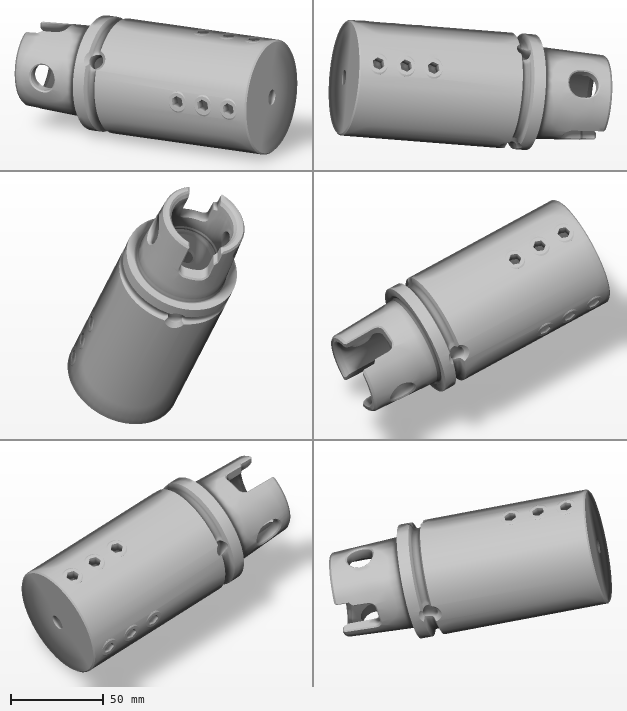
import cadquery as cq
import math


body_diameter = 62.95
body_radius = body_diameter / 2
body_length = 105.0
shank_length = 39.95
end_chamfer = 0.8

taper_large_radius = 25.2
taper_slope = 0.05
taper_small_radius = taper_large_radius - taper_slope * shank_length
tip_chamfer_length = 1.3
tip_chamfer_height = 0.85

neck_radius = 24.6
neck_length = 1.0
neck_chamfer = 0.5
face_recess_outer_radius = 27.0
face_recess_inner_radius = 25.7
face_recess_depth = 0.6

groove_start = 6.55
groove_top_width = 6.55
groove_floor_width = 3.3
groove_depth = 3.65
groove_fillet = 1.2

mouth_radius = 20.0
mouth_chamfer = 1.1
lead_in_length = 2.0
bore_radius = 17.7
bore_depth = 31.5
lip_radius = 17.0
lip_start = 29.8
lip_slope_length = 0.7
floor_recess_radius = 15.4
floor_recess_chamfer = 1.0
coolant_radius = 4.2
coolant_chamfer = 1.0

slot_half_width = 8.1
slot_length = 22.0
slot_corner_radius = 4.0
slot_step = 1.75
slot_step_length = 7.7
slot_mouth_chamfer = 0.9
outer_edge_chamfer = 0.8

cross_hole_from_tip = 17.4
cross_hole_diameter = 14.6
cross_hole_stretch = 2.2

notch_x = 11.1
notch_radius = 4.1
notch_sink_radius = 6.3
notch_bottom = 22.0
drill_point_angle = 118.0
sunk_notch_angles = (60.0, 180.0)
plain_notch_angle = -60.0

screw_radius = 6.0
screw_face_radius = 5.15
screw_chamfer_depth = 0.5
screw_length = 12.0
screw_pitch = 15.5
last_screw_from_end = 10.6
screw_count = 3
screw_side_angles = (-90.0, 0.0, 90.0)
hex_across_flats = 6.0
hex_depth = 6.0
hex_twist = 40.0

shank_tip = -shank_length
cutter_reach = 100.0
tolerance = 0.01


def revolve_about_x(outline):
    """Solid of revolution from a closed (x, radius) outline."""
    return outline.close().revolve(360, (0, 0, 0), (1, 0, 0))


def place_on_side(tool, x, angle):
    """Put a tool built along Z at the given X, turned about the axis from +Z toward -Y."""
    return tool.rotate((0, 0, 0), (1, 0, 0), angle).translate((x, 0, 0))


def make_blank():
    taper_end = -neck_length - neck_chamfer
    taper_end_radius = taper_large_radius + taper_slope * taper_end
    outline = (
        cq.Workplane("XY")
        .moveTo(shank_tip, 0)
        .lineTo(shank_tip, taper_small_radius - tip_chamfer_height)
        .lineTo(shank_tip + tip_chamfer_length, taper_small_radius + taper_slope * tip_chamfer_length)
        .lineTo(taper_end, taper_end_radius)
        .lineTo(-neck_length, neck_radius)
        .lineTo(face_recess_depth, face_recess_inner_radius)
        .lineTo(0, face_recess_outer_radius)
        .lineTo(0, body_radius)
        .lineTo(body_length - end_chamfer, body_radius)
        .lineTo(body_length, body_radius - end_chamfer)
        .lineTo(body_length, 0)
    )
    return revolve_about_x(outline)


def make_groove():
    floor_radius = body_radius - groove_depth
    side = (groove_top_width - groove_floor_width) / 2
    outline = (
        cq.Workplane("XY")
        .moveTo(groove_start, body_radius)
        .lineTo(groove_start + side, floor_radius)
        .lineTo(groove_start + side + groove_floor_width, floor_radius)
        .lineTo(groove_start + groove_top_width, body_radius)
        .lineTo(groove_start + groove_top_width, cutter_reach)
        .lineTo(groove_start, cutter_reach)
    )
    floor_edges = cq.selectors.BoxSelector(
        (0, -floor_radius - tolerance, -floor_radius - tolerance),
        (body_length, floor_radius + tolerance, floor_radius + tolerance),
        boundingbox=True,
    )
    return revolve_about_x(outline).edges("%CIRCLE").edges(floor_edges).fillet(groove_fillet)


def make_hollow():
    lead_in_radius = mouth_radius - mouth_chamfer
    lip_x = shank_tip + lip_start
    floor_x = shank_tip + bore_depth
    recess_x = floor_x + floor_recess_chamfer
    outline = (
        cq.Workplane("XY")
        .moveTo(shank_tip, 0)
        .lineTo(shank_tip, mouth_radius)
        .lineTo(shank_tip + mouth_chamfer, lead_in_radius)
        .lineTo(shank_tip + mouth_chamfer + lead_in_length, bore_radius)
        .lineTo(lip_x, bore_radius)
        .lineTo(lip_x + lip_slope_length, lip_radius)
        .lineTo(floor_x, lip_radius)
        .lineTo(floor_x, floor_recess_radius)
        .lineTo(recess_x, floor_recess_radius - floor_recess_chamfer)
        .lineTo(recess_x, coolant_radius + coolant_chamfer)
        .lineTo(recess_x + coolant_chamfer, coolant_radius)
        .lineTo(body_length, coolant_radius)
        .lineTo(body_length, 0)
    )
    return revolve_about_x(outline)


def make_drive_slot():
    """Slot running through Z, with its -Y wall set back near the shank tip."""
    slot_end = shank_tip + slot_length
    step_end = shank_tip + slot_step_length
    mouth_end = shank_tip + slot_mouth_chamfer
    step_half_width = slot_half_width + slot_step
    return (
        cq.Workplane("XY", origin=(0, 0, -cutter_reach / 2))
        .moveTo(shank_tip, slot_half_width + slot_mouth_chamfer)
        .lineTo(mouth_end, slot_half_width)
        .lineTo(slot_end, slot_half_width)
        .lineTo(slot_end, -slot_half_width)
        .lineTo(step_end + slot_step, -slot_half_width)
        .lineTo(step_end, -step_half_width)
        .lineTo(mouth_end, -step_half_width)
        .lineTo(shank_tip, -step_half_width - slot_mouth_chamfer)
        .close()
        .extrude(cutter_reach)
        .edges("|Z and >X")
        .fillet(slot_corner_radius)
    )


def make_cross_hole():
    hole_x = shank_tip + cross_hole_from_tip
    round_hole = (
        cq.Workplane("XZ", origin=(hole_x, 0, 0))
        .circle(cross_hole_diameter / 2)
        .extrude(cutter_reach / 2)
    )
    stretched_hole = (
        cq.Workplane("XZ", origin=(hole_x - cross_hole_stretch / 2, 0, 0))
        .slot2D(cross_hole_diameter + cross_hole_stretch, cross_hole_diameter)
        .extrude(-cutter_reach / 2)
    )
    return round_hole.union(stretched_hole)


def break_shank_edges(holder):
    """Chamfer the outer edges of the drive slots and of the cross hole."""
    farthest_cut = shank_tip + cross_hole_from_tip + cross_hole_diameter / 2

    def lies_on_taper(edge):
        points = [edge.positionAt(t) for t in (0.0, 0.5, 1.0)]
        return all(
            abs(math.hypot(p.y, p.z) - taper_large_radius - taper_slope * p.x) < tolerance
            and shank_tip < p.x < farthest_cut + tolerance
            for p in points
        )

    def is_tip_ring(edge):
        return edge.BoundingBox().xlen < tolerance and edge.Center().x < shank_tip + 2 * tip_chamfer_length

    edges = [e for e in holder.edges().vals() if lies_on_taper(e) and not is_tip_ring(e)]
    return holder.newObject(edges).chamfer(outer_edge_chamfer)


def make_notch(sunk):
    """Radial drill along +Z with a conical point, and a 45 degree countersink when sunk."""
    point_depth = notch_radius / math.tan(math.radians(drill_point_angle / 2))
    outline = cq.Workplane("XZ").moveTo(0, notch_bottom - point_depth).lineTo(notch_radius, notch_bottom)
    if sunk:
        sink_depth = notch_sink_radius - notch_radius
        outline = outline.lineTo(notch_radius, body_radius - sink_depth)
        outline = outline.lineTo(notch_sink_radius, body_radius).lineTo(notch_sink_radius, cutter_reach)
    else:
        outline = outline.lineTo(notch_radius, cutter_reach)
    return outline.lineTo(0, cutter_reach).close().revolve(360, (0, 0, 0), (0, 1, 0))


def make_screw_blank():
    """Set screw along +Z whose flat face is level with the body surface."""
    return (
        cq.Workplane("XZ")
        .moveTo(0, body_radius - screw_length)
        .lineTo(screw_radius, body_radius - screw_length)
        .lineTo(screw_radius, body_radius - screw_chamfer_depth)
        .lineTo(screw_face_radius, body_radius)
        .lineTo(0, body_radius)
        .close()
        .revolve(360, (0, 0, 0), (0, 1, 0))
    )


def make_screw():
    hex_corner_diameter = hex_across_flats / math.cos(math.radians(30))
    socket = (
        cq.Workplane("XY", origin=(0, 0, body_radius - hex_depth))
        .polygon(6, hex_corner_diameter)
        .extrude(hex_depth)
        .rotate((0, 0, 0), (0, 0, 1), hex_twist)
    )
    return make_screw_blank().cut(socket)


screw_places = [
    (body_length - last_screw_from_end - i * screw_pitch, angle)
    for angle in screw_side_angles
    for i in range(screw_count)
]

holder = make_blank().cut(make_groove()).cut(make_hollow())
holder = holder.cut(make_drive_slot()).cut(make_cross_hole())
holder = break_shank_edges(holder)
for notch_angle in sunk_notch_angles:
    holder = holder.cut(place_on_side(make_notch(True), notch_x, notch_angle))
holder = holder.cut(place_on_side(make_notch(False), notch_x, plain_notch_angle))
for screw_x, screw_angle in screw_places:
    holder = holder.cut(place_on_side(make_screw_blank(), screw_x, screw_angle))

screws = [place_on_side(make_screw(), screw_x, screw_angle) for screw_x, screw_angle in screw_places]

result = cq.Compound.makeCompound([holder.val(), *[screw.val() for screw in screws]])